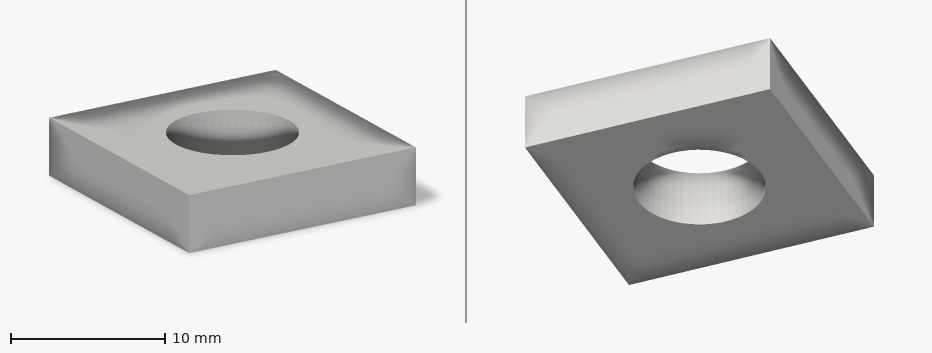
import cadquery as cq

side = 17.27
thickness = 4.0
hole_diameter = side / 2

result = (
    cq.Workplane("XY")
    .box(side, side, thickness)
    .faces(">Z")
    .workplane()
    .hole(hole_diameter)
)